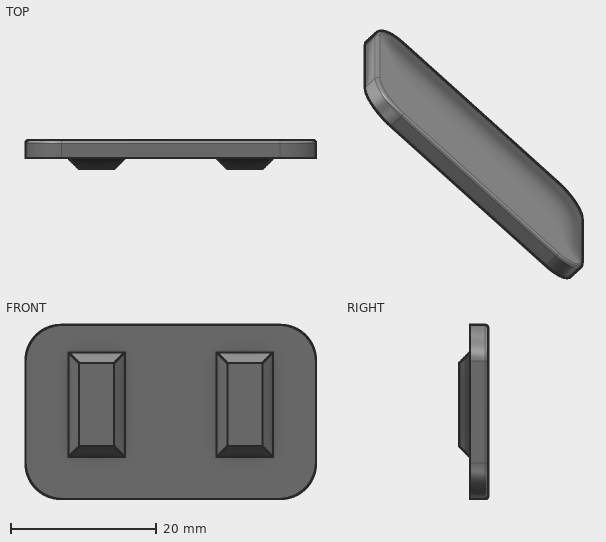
import cadquery as cq

plate_length = 40.0
plate_height = 24.0
overall_depth = 4.0
plate_thickness = 2.5
corner_radius = 5.0
back_edge_round = 0.5

pad_width = 7.75
pad_height = 14.4
pad_spacing = 20.4
pad_offset_z = 1.0
pad_depth = overall_depth - plate_thickness
pad_taper_angle = 45.0


def make_plate():
    """Rounded plate with its front face at Y = 0 and its back edge rounded."""
    return (
        cq.Workplane("XZ")
        .rect(plate_length, plate_height)
        .extrude(-plate_thickness)
        .edges("|Y")
        .fillet(corner_radius)
        .faces(">Y")
        .edges()
        .fillet(back_edge_round)
    )


def make_pad(center_x):
    """Pad rising from the front face, narrowing on all four sides."""
    return (
        cq.Workplane("XZ")
        .center(center_x, pad_offset_z)
        .rect(pad_width, pad_height)
        .extrude(pad_depth, taper=pad_taper_angle)
    )


result = make_plate()
for side in (-1, 1):
    result = result.union(make_pad(side * pad_spacing / 2))